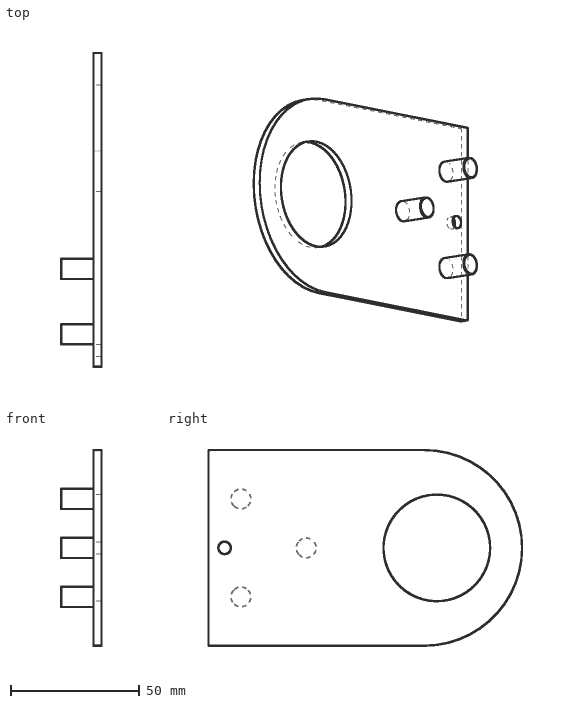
import cadquery as cq

plate_length = 122.2
plate_width = 76.2
plate_thickness = 3.2
corner_radius = 0.5

large_hole_diameter = 41.4
large_hole_from_end = 89.0
small_hole_diameter = 4.8
small_hole_from_end = 6.4

pin_diameter = 8.0
pin_length = 12.7
pin_chamfer = 0.2
pair_from_end = 12.7
pair_half_spacing = 19.0
single_from_end = 38.1

half_width = plate_width / 2
square_end_y = -plate_length / 2
round_end_y = plate_length / 2
arc_center_y = round_end_y - half_width

pin_positions = [
    (square_end_y + pair_from_end, pair_half_spacing),
    (square_end_y + pair_from_end, -pair_half_spacing),
    (square_end_y + single_from_end, 0),
]


def through_hole(diameter, from_end):
    """Cylinder that cuts through the plate on its centre line."""
    return (
        cq.Workplane("YZ")
        .center(square_end_y + from_end, 0)
        .circle(diameter / 2)
        .extrude(plate_thickness)
    )


def make_plate():
    """Plate from X = 0 to its thickness, with its two holes."""
    blank = (
        cq.Workplane("YZ")
        .moveTo(square_end_y, -half_width)
        .lineTo(arc_center_y, -half_width)
        .threePointArc((round_end_y, 0), (arc_center_y, half_width))
        .lineTo(square_end_y, half_width)
        .close()
        .extrude(plate_thickness)
    )
    blank = blank.faces("<Y").edges("|X").fillet(corner_radius)
    large_hole = through_hole(large_hole_diameter, large_hole_from_end)
    small_hole = through_hole(small_hole_diameter, small_hole_from_end)
    return blank.cut(large_hole).cut(small_hole)


def make_pin(y, z):
    """Pin that starts on the plate face and ends in a chamfered tip."""
    return (
        cq.Workplane("YZ")
        .center(y, z)
        .circle(pin_diameter / 2)
        .extrude(-pin_length)
        .faces("<X")
        .chamfer(pin_chamfer)
    )


plate = make_plate()
pins = [make_pin(y, z).val() for y, z in pin_positions]

result = cq.Compound.makeCompound([plate.val(), *pins])